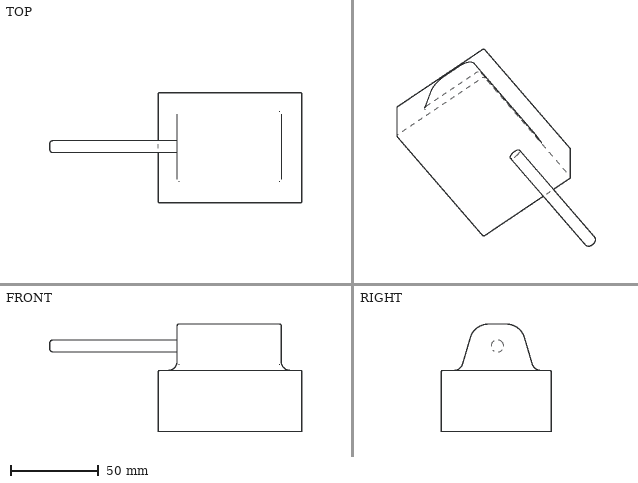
import cadquery as cq
import math

base_length = 82.2
base_width = 63.0
base_height = 35.0
edge_radius = 1.0

total_height = 61.5
hood_start = 10.8
hood_end_setback = 11.8
hood_end = base_length - hood_end_setback
hood_offset_y = 0.65
hood_foot_half_width = 21.0
hood_flat_half_width = 5.0
hood_shoulder_radius = 11.0
hood_end_radius = 1.12
hood_foot_radius = 5.0

cable_diameter = 7.0
cable_tip_flat_diameter = 3.0
cable_reach = 62.0
cable_height = 48.9


def shoulder_lean(rise, run, radius):
    """Lean from vertical of a side line that starts at the foot and is tangent to the shoulder arc.

    rise and run go from the foot up to, and inward to, the centre of the arc.
    """
    foot_to_centre = math.hypot(rise, run)
    return math.atan2(run, rise) - math.asin(radius / foot_to_centre)


def make_base():
    block = cq.Workplane("XY").box(base_length, base_width, base_height, centered=(False, True, False))
    return block.edges("|Z or >Z").fillet(edge_radius)


def make_hood():
    arc_centre_z = total_height - hood_shoulder_radius
    lean = shoulder_lean(
        arc_centre_z - base_height,
        hood_foot_half_width - hood_flat_half_width,
        hood_shoulder_radius,
    )
    mid_angle = (lean + math.pi / 2) / 2

    def arc_point(side, angle):
        y = hood_flat_half_width + hood_shoulder_radius * math.cos(angle)
        z = arc_centre_z + hood_shoulder_radius * math.sin(angle)
        return (hood_offset_y + side * y, z)

    hood = (
        cq.Workplane("YZ", origin=(hood_start, 0, 0))
        .moveTo(hood_offset_y - hood_foot_half_width, base_height)
        .lineTo(*arc_point(-1, lean))
        .threePointArc(arc_point(-1, mid_angle), arc_point(-1, math.pi / 2))
        .lineTo(*arc_point(1, math.pi / 2))
        .threePointArc(arc_point(1, mid_angle), arc_point(1, lean))
        .lineTo(hood_offset_y + hood_foot_half_width, base_height)
        .close()
        .extrude(hood_end - hood_start)
    )
    return hood.edges("(<X or >X) and (not <Z)").fillet(hood_end_radius)


def make_housing():
    joined = make_base().union(make_hood())
    inset = 2 * edge_radius
    half_box_height = edge_radius / 2
    foot_zone = cq.selectors.BoxSelector(
        (inset, inset - base_width / 2, base_height - half_box_height),
        (base_length - inset, base_width / 2 - inset, base_height + half_box_height),
    )
    return joined.edges(foot_zone).fillet(hood_foot_radius)


def make_cable():
    tip_radius = (cable_diameter - cable_tip_flat_diameter) / 2
    cable = (
        cq.Workplane("YZ", origin=(-cable_reach, hood_offset_y, cable_height))
        .circle(cable_diameter / 2)
        .extrude(cable_reach + hood_start)
    )
    return cable.edges("<X").fillet(tip_radius)


housing = make_housing()
cable = make_cable()

result = cq.Compound.makeCompound([housing.val(), cable.val()])